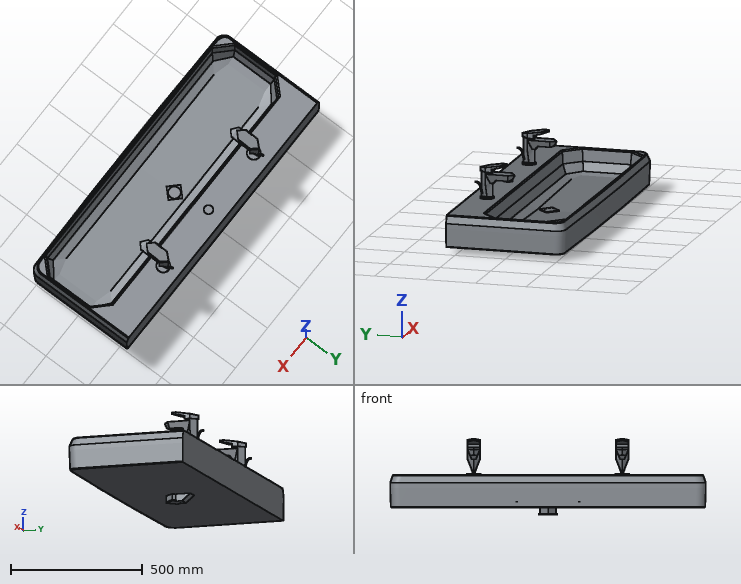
import cadquery as cq
import math

WIDTH = 1200.0
DEPTH = 470.0
HEIGHT = 125.0
RIDGE_Z = 74.0
TAPER_Z = 94.0
RIM_INSET = 10.0
FOOT_INSET = 2.0
EDGE_BEVEL = 4.0
CORNER_RADIUS = 36.0
FRONT_BOW = 6.0

BOWL_WIDTH = 1157.0
BOWL_BACK = -132.0
BOWL_FRONT = -450.0
BOWL_CORNER = 61.0
FOOT_CORNER_Y = 50.0
FLOOR_CORNER_X = 66.0
FLOOR_CORNER_Y = 18.0
LIP_BEVEL = 5.0
WALL_BEND_Z = 73.0
WALL_BEND_INSET = 4.0
WALL_FOOT_Z = 38.0
WALL_FOOT_INSET = 19.0
FLOOR_Z = 19.0
FLOOR_END_RISE = 12.0
FLOOR_INSET = 53.0

KNOCKOUT_RADIUS = 18.0
KNOCKOUT_DEPTH = 1.0

DRAIN_Y = -233.0
PLUG_HALF = 38.0
PLUG_THICKNESS = 4.0
STEM_RADIUS = 24.0
TAIL_DROP = 28.0
TAIL_HALF_X = 31.0
TAIL_HALF_Y = 36.0
TAIL_LIP = 4.0
CHANNEL_WIDTH = 45.0
CHANNEL_BACK = -164.0

FAUCET_X = 282.0
FAUCET_Y = -70.0
FLANGE_RADIUS = 26.0
FLANGE_THICKNESS = 4.0
COLUMN_HALF_X = 24.0
COLUMN_HALF_Y = 23.0
COLUMN_FOOT_HALF_X = 2.0
NECK_HEIGHT = 59.0
COLUMN_HEIGHT = 104.0
SPOUT_TOP = 97.0
SPOUT_UNDERSIDE = 73.0
SPOUT_FLANK_ANGLE = 22.0
SPOUT_HEEL_Y = -96.0
SPOUT_ARM_Y = -108.0
SPOUT_SHOULDER_Y = -160.0
SPOUT_CHIN_Y = -175.0
SPOUT_CHIN_HEIGHT = 77.0
SPOUT_TIP_HEIGHT = 94.0
SPOUT_TIP_Y = -181.0
LEVER_BACK_Y = -43.0
LEVER_SHOULDER_Y = -126.0
LEVER_TIP_Y = -150.0
LEVER_BACK_TOP = 119.0
LEVER_HUB_FRONT_TOP = 116.0
LEVER_TIP_TOP = 137.0
LEVER_TIP_THICKNESS = 6.0
ROD_RADIUS = 2.0
ROD_PATH = [(-24.0, 59.0), (-32.0, 58.0), (-42.0, 45.0), (-50.0, 14.0)]


def basin_section(z, inset):
    """Closed outline of the outer wall: square back corners, round front corners, bowed front."""
    half = WIDTH / 2 - inset
    front = -DEPTH + inset
    corner_y = front + FRONT_BOW
    bend = CORNER_RADIUS * (1 - math.sqrt(0.5))
    return (
        cq.Workplane("XY", origin=(0, 0, z))
        .moveTo(-half, 0)
        .lineTo(-half, corner_y + CORNER_RADIUS)
        .threePointArc((-half + bend, corner_y + bend), (-half + CORNER_RADIUS, corner_y))
        .threePointArc((0, front), (half - CORNER_RADIUS, corner_y))
        .threePointArc((half - bend, corner_y + bend), (half, corner_y + CORNER_RADIUS))
        .lineTo(half, 0)
        .close()
        .val()
    )


def half_bowl_section(z, inset, cut_x, cut_y, end_rise=0.0):
    """The +X half of the bowl outline, moved inward by inset, with corners cut by cut_x and cut_y.

    The outline lies at height z at X = 0 and tilts up by end_rise at the bowl's end.
    """
    half = BOWL_WIDTH / 2 - inset
    back = BOWL_BACK - inset
    front = BOWL_FRONT + inset
    points = [
        (0, back), (half - cut_x, back), (half, back - cut_y),
        (half, front + cut_y), (half - cut_x, front), (0, front),
    ]
    vertices = [cq.Vector(x, y, z + end_rise * x / half) for x, y in points]
    return cq.Wire.makePolygon(vertices, close=True)


def stack(sections):
    """Solid with straight walls from each section to the next."""
    return cq.Workplane(cq.Solid.makeLoft(sections, True))


def rhombus(half_x, half_y, x, y, z):
    """Rhombus outline with its corners on the X and Y directions."""
    points = [(-half_x, 0), (0, -half_y), (half_x, 0), (0, half_y)]
    return cq.Workplane("XY", origin=(x, y, z)).polyline(points).close()


def side_plate(points, width):
    """Plate with the given (Y, Z) outline, centred on X = 0."""
    return cq.Workplane("YZ").polyline(points).close().extrude(width / 2, both=True)


def make_drain():
    plug = rhombus(PLUG_HALF, PLUG_HALF, 0, DRAIN_Y, FLOOR_Z).extrude(PLUG_THICKNESS)
    stem = cq.Workplane("XY", origin=(0, DRAIN_Y, 0)).circle(STEM_RADIUS).extrude(FLOOR_Z)
    tail = rhombus(TAIL_HALF_X, TAIL_HALF_Y, 0, DRAIN_Y, -TAIL_DROP).extrude(TAIL_DROP)
    lip = rhombus(TAIL_HALF_Y, TAIL_HALF_Y, 0, DRAIN_Y, -TAIL_DROP).extrude(TAIL_LIP)
    channel = side_plate(
        [
            (CHANNEL_BACK, 0),
            (DRAIN_Y + TAIL_HALF_Y, -TAIL_DROP),
            (DRAIN_Y, -TAIL_DROP),
            (DRAIN_Y, 0),
        ],
        CHANNEL_WIDTH,
    )
    return tail.union(lip).union(channel).union(stem).union(plug)


def make_bowl():
    """Bowl space: two mirrored halves whose floors slope down toward the drain."""
    half = stack([
        half_bowl_section(FLOOR_Z, FLOOR_INSET, FLOOR_CORNER_X, FLOOR_CORNER_Y, FLOOR_END_RISE),
        half_bowl_section(WALL_FOOT_Z, WALL_FOOT_INSET, BOWL_CORNER, FOOT_CORNER_Y),
        half_bowl_section(WALL_BEND_Z, WALL_BEND_INSET, BOWL_CORNER, BOWL_CORNER),
        half_bowl_section(HEIGHT - LIP_BEVEL, 0, BOWL_CORNER, BOWL_CORNER),
        half_bowl_section(HEIGHT, -LIP_BEVEL, BOWL_CORNER, BOWL_CORNER),
    ])
    return half.union(half.mirror("YZ"))


def make_basin(drain):
    shell = stack([
        basin_section(0, FOOT_INSET + EDGE_BEVEL),
        basin_section(EDGE_BEVEL, FOOT_INSET),
        basin_section(RIDGE_Z, 0),
        basin_section(TAPER_Z, 0),
        basin_section(HEIGHT - EDGE_BEVEL, RIM_INSET),
        basin_section(HEIGHT, RIM_INSET + EDGE_BEVEL),
    ])
    bowl = make_bowl()
    knockout = (
        cq.Workplane("XY", origin=(0, FAUCET_Y, HEIGHT))
        .circle(KNOCKOUT_RADIUS)
        .extrude(-KNOCKOUT_DEPTH)
    )
    return shell.cut(bowl).cut(knockout).cut(drain)


def make_flange():
    return cq.Workplane("XY", origin=(0, FAUCET_Y, 0)).circle(FLANGE_RADIUS).extrude(FLANGE_THICKNESS)


def make_rod():
    """Bent lift rod that leans into the back of the column."""
    path = cq.Workplane("YZ").spline(ROD_PATH)
    start = path.val().startPoint()
    profile = cq.Workplane(cq.Plane(start, (1, 0, 0), path.val().tangentAt(0)))
    return profile.circle(ROD_RADIUS).sweep(path)


def make_spout():
    """Spout with a pointed nose in plan, flanks that narrow downward and a stepped underside."""
    side = side_plate(
        [
            (FAUCET_Y, NECK_HEIGHT),
            (SPOUT_HEEL_Y, NECK_HEIGHT),
            (SPOUT_ARM_Y, SPOUT_UNDERSIDE),
            (SPOUT_SHOULDER_Y, SPOUT_UNDERSIDE),
            (SPOUT_CHIN_Y, SPOUT_CHIN_HEIGHT),
            (SPOUT_TIP_Y, SPOUT_TIP_HEIGHT),
            (SPOUT_SHOULDER_Y, SPOUT_TOP),
            (FAUCET_Y, SPOUT_TOP),
        ],
        2 * COLUMN_HALF_X,
    )
    plan = (
        cq.Workplane("XY", origin=(0, 0, SPOUT_TOP))
        .polyline([
            (0, FAUCET_Y + COLUMN_HALF_Y),
            (-COLUMN_HALF_X, FAUCET_Y),
            (-COLUMN_HALF_X, SPOUT_SHOULDER_Y),
            (0, SPOUT_TIP_Y),
            (COLUMN_HALF_X, SPOUT_SHOULDER_Y),
            (COLUMN_HALF_X, FAUCET_Y),
        ])
        .close()
        .extrude(NECK_HEIGHT - SPOUT_TOP, taper=SPOUT_FLANK_ANGLE)
    )
    return side.intersect(plan)


def make_faucet_body(rod):
    """Column that flares from a thin foot to a rhombus, with the spout in front."""
    foot = rhombus(COLUMN_FOOT_HALF_X, COLUMN_HALF_Y, 0, FAUCET_Y, FLANGE_THICKNESS).val()
    neck = rhombus(COLUMN_HALF_X, COLUMN_HALF_Y, 0, FAUCET_Y, NECK_HEIGHT)
    flare = stack([foot, neck.val()])
    head = neck.extrude(COLUMN_HEIGHT - NECK_HEIGHT)
    return flare.union(head).union(make_spout()).cut(rod)


def make_lever():
    """Lever with a thick hub over the column and a thin rising blade, pointed at both ends."""
    hub_front = FAUCET_Y - COLUMN_HALF_Y
    side = side_plate(
        [
            (LEVER_BACK_Y, COLUMN_HEIGHT),
            (hub_front, COLUMN_HEIGHT),
            (hub_front, LEVER_HUB_FRONT_TOP),
            (LEVER_TIP_Y, LEVER_TIP_TOP - LEVER_TIP_THICKNESS),
            (LEVER_TIP_Y, LEVER_TIP_TOP),
            (LEVER_BACK_Y, LEVER_BACK_TOP),
        ],
        2 * COLUMN_HALF_X,
    )
    plan = (
        cq.Workplane("XY")
        .polyline([
            (0, LEVER_BACK_Y),
            (-COLUMN_HALF_X, FAUCET_Y),
            (-COLUMN_HALF_X, LEVER_SHOULDER_Y),
            (0, LEVER_TIP_Y),
            (COLUMN_HALF_X, LEVER_SHOULDER_Y),
            (COLUMN_HALF_X, FAUCET_Y),
        ])
        .close()
        .extrude(LEVER_TIP_TOP)
    )
    return side.intersect(plan)


drain = make_drain()
basin = make_basin(drain)

flange = make_flange()
rod = make_rod()
faucet_body = make_faucet_body(rod)
lever = make_lever()

faucet_solids = []
for x in (-FAUCET_X, FAUCET_X):
    for part in (flange, faucet_body, lever, rod):
        faucet_solids.append(part.translate((x, 0, HEIGHT)).solids().val())

result = cq.Compound.makeCompound([basin.solids().val(), drain.solids().val(), *faucet_solids])